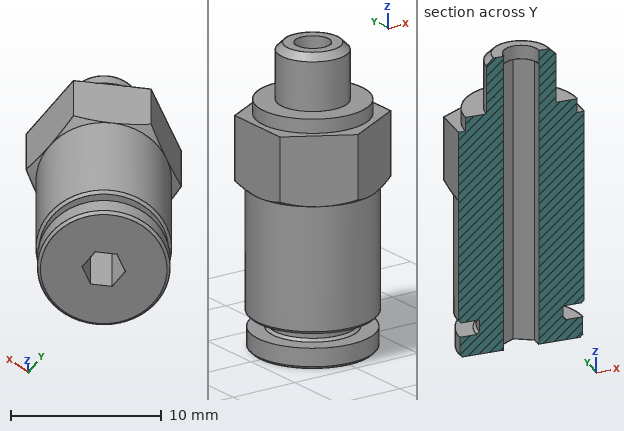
import cadquery as cq
import math

RING_LENGTH = 1.5
NECK_LENGTH = 1.0
BODY_LENGTH = 9.0
HEX_LENGTH = 5.0
FLANGE_LENGTH = 1.0
STUD_LENGTH = 4.0

RING_DIAMETER = 8.8
NECK_DIAMETER = 6.0
BODY_DIAMETER = 9.0
FLANGE_DIAMETER = 8.0
STUD_DIAMETER = 5.0

HEX_SIDES = 6
HEX_ACROSS_FLATS = BODY_DIAMETER
HEX_CHAMFER_ANGLE = 30.0
CORNER_TO_Y_TURN = 90.0

SMALL_CHAMFER = 0.2
STUD_CHAMFER = 0.5

PASSAGE_WIDTH = 2.5
MOUTH_DEPTH = 1.0

RING_TOP = RING_LENGTH
BODY_BOTTOM = RING_TOP + NECK_LENGTH
HEX_BOTTOM = BODY_BOTTOM + BODY_LENGTH
HEX_TOP = HEX_BOTTOM + HEX_LENGTH
FLANGE_TOP = HEX_TOP + FLANGE_LENGTH
STUD_TOP = FLANGE_TOP + STUD_LENGTH


def cylinder(diameter, bottom, length):
    return cq.Workplane("XY").workplane(offset=bottom).circle(diameter / 2).extrude(length)


def corner_diameter(across_flats):
    return across_flats / math.cos(math.pi / HEX_SIDES)


def hexagon(across_flats, bottom, length):
    """Hexagonal prism with corners on the Y axis and flats facing +X and -X."""
    prism = cq.Workplane("XY").polygon(HEX_SIDES, corner_diameter(across_flats)).extrude(length)
    return prism.rotate((0, 0, 0), (0, 0, 1), CORNER_TO_Y_TURN).translate((0, 0, bottom))


def release_ring():
    return cylinder(RING_DIAMETER, 0, RING_LENGTH).faces("<Z").chamfer(SMALL_CHAMFER)


def neck():
    """Neck that flares out at 45 degrees where it meets the release ring."""
    neck_radius = NECK_DIAMETER / 2
    profile = [
        (0, RING_TOP),
        (neck_radius + SMALL_CHAMFER, RING_TOP),
        (neck_radius, RING_TOP + SMALL_CHAMFER),
        (neck_radius, BODY_BOTTOM),
        (0, BODY_BOTTOM),
    ]
    return cq.Workplane("XZ").polyline(profile).close().revolve(360, (0, 0, 0), (0, 1, 0))


def body():
    return cylinder(BODY_DIAMETER, BODY_BOTTOM, BODY_LENGTH).faces("<Z").chamfer(SMALL_CHAMFER)


def wrench_hexagon():
    """Hexagon whose lower corners are turned off by a cone starting at the flats."""
    flat_radius = HEX_ACROSS_FLATS / 2
    corner_radius = corner_diameter(HEX_ACROSS_FLATS) / 2
    cone_rise = (corner_radius - flat_radius) * math.tan(math.radians(HEX_CHAMFER_ANGLE))
    envelope_scale = 2.0
    envelope_radius = flat_radius + envelope_scale * (corner_radius - flat_radius)
    profile = [
        (0, HEX_BOTTOM),
        (flat_radius, HEX_BOTTOM),
        (envelope_radius, HEX_BOTTOM + envelope_scale * cone_rise),
        (envelope_radius, HEX_TOP),
        (0, HEX_TOP),
    ]
    envelope = cq.Workplane("XZ").polyline(profile).close().revolve(360, (0, 0, 0), (0, 1, 0))
    return hexagon(HEX_ACROSS_FLATS, HEX_BOTTOM, HEX_LENGTH).intersect(envelope)


def flange():
    return cylinder(FLANGE_DIAMETER, HEX_TOP, FLANGE_LENGTH)


def stud():
    return cylinder(STUD_DIAMETER, FLANGE_TOP, STUD_LENGTH).faces(">Z").chamfer(STUD_CHAMFER)


def passage():
    socket_top = STUD_TOP - MOUTH_DEPTH
    mouth = cylinder(PASSAGE_WIDTH, socket_top, MOUTH_DEPTH)
    socket = hexagon(PASSAGE_WIDTH, 0, socket_top)
    return mouth.union(socket)


fitting = release_ring()
for section in (neck(), body(), wrench_hexagon(), flange(), stud()):
    fitting = fitting.union(section)

result = fitting.cut(passage())